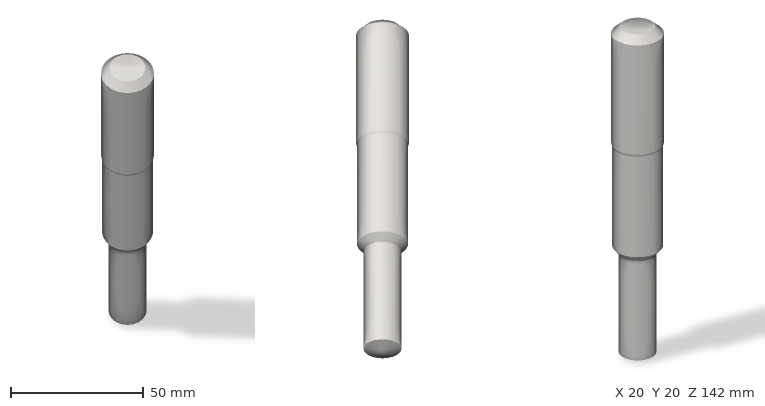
import cadquery as cq

TOTAL_LENGTH = 142.0
GRIP_LENGTH = 51.0
BODY_BOTTOM = 47.7
PIN_LENGTH = 44.9
POINT_HEIGHT = 2.0

GRIP_DIAMETER = 20.0
BODY_DIAMETER = 19.3
PIN_DIAMETER = 14.3

GRIP_TOP_CHAMFER = 3.3
GRIP_TOP_CHAMFER_HEIGHT = 3.0
GRIP_BOTTOM_TAPER_HEIGHT = 1.0
GRIP_LIP_WIDTH = 0.1
GRIP_LIP_HEIGHT = 0.3

GRIP_RADIUS = GRIP_DIAMETER / 2
BODY_RADIUS = BODY_DIAMETER / 2
PIN_RADIUS = PIN_DIAMETER / 2
GRIP_BOTTOM = TOTAL_LENGTH - GRIP_LENGTH


def turn(outline):
    """Revolve an outline of (radius, height) points around the Z axis."""
    return (
        cq.Workplane("XZ")
        .polyline(outline)
        .close()
        .revolve(360, (0, 0, 0), (0, 1, 0))
    )


def make_holder():
    """Grip with a two-step taper to a slightly thinner body, then a cone down to the pin."""
    return turn([
        (0, PIN_LENGTH),
        (PIN_RADIUS, PIN_LENGTH),
        (BODY_RADIUS, BODY_BOTTOM),
        (BODY_RADIUS, GRIP_BOTTOM),
        (BODY_RADIUS + GRIP_LIP_WIDTH, GRIP_BOTTOM + GRIP_LIP_HEIGHT),
        (GRIP_RADIUS, GRIP_BOTTOM + GRIP_BOTTOM_TAPER_HEIGHT),
        (GRIP_RADIUS, TOTAL_LENGTH - GRIP_TOP_CHAMFER_HEIGHT),
        (GRIP_RADIUS - GRIP_TOP_CHAMFER, TOTAL_LENGTH),
        (0, TOTAL_LENGTH),
    ])


def make_pin():
    """Straight pin with a shallow conical point, butting against the end of the holder."""
    return turn([
        (0, 0),
        (PIN_RADIUS, POINT_HEIGHT),
        (PIN_RADIUS, PIN_LENGTH),
        (0, PIN_LENGTH),
    ])


holder = make_holder()
pin = make_pin()

result = cq.Compound.makeCompound([holder.val(), pin.val()])